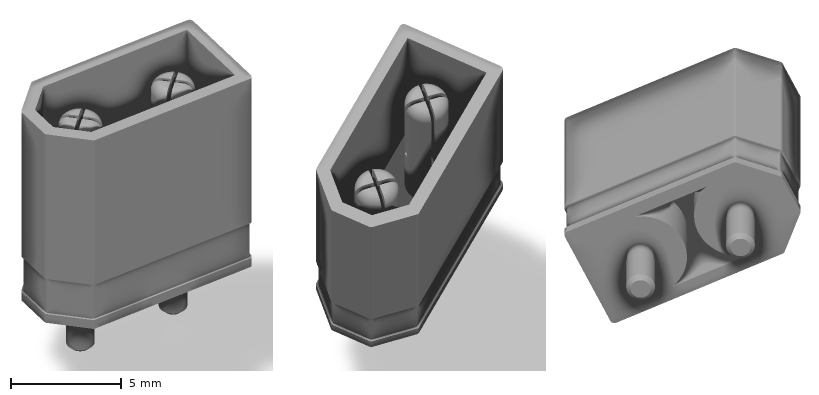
import cadquery as cq

WIDTH = 5.2
LENGTH = 10.2
HEIGHT = 10.75
Y_BACK = 5.15
Y_FRONT = Y_BACK - LENGTH
KEY_CHAMFER = 1.6
CORNER_RADIUS = 0.2
WALL = 0.6

FLANGE_HEIGHT = 0.5
GROOVE_TOP = 2.5
GROOVE_DEPTH = 0.1

FLOOR_TOP = GROOVE_TOP
PAD_RADIUS = 2.1

CONTACT_PITCH = 5.0
CONTACT_Y = (-CONTACT_PITCH / 2, CONTACT_PITCH / 2)
COLLAR_DIAMETER = 2.5
PLUG_DIAMETER = 2.0
PLUG_TOP = 10.0
PLUG_ROUNDING = 0.5
TAIL_DIAMETER = 1.3
TAIL_LENGTH = 3.0
TAIL_CHAMFER = 0.2
SLIT_WIDTH = 0.2
SLIT_DEPTH = 4.5
SLIT_ANGLES = (45, 135)


def keyed_outline(base_z, inset=0.0):
    """Rectangle with its two front corners cut off, moved inward by the inset."""
    half_width = WIDTH / 2
    outline = cq.Workplane("XY", origin=(0, 0, base_z)).polyline([
        (-half_width, Y_BACK),
        (half_width, Y_BACK),
        (half_width, Y_FRONT + KEY_CHAMFER),
        (half_width - KEY_CHAMFER, Y_FRONT),
        (-half_width + KEY_CHAMFER, Y_FRONT),
        (-half_width, Y_FRONT + KEY_CHAMFER),
    ]).close()
    return outline.offset2D(-inset) if inset else outline


def keyed_prism(base_z, top_z, inset=0.0, corner_radius=0.0):
    prism = keyed_outline(base_z, inset).extrude(top_z - base_z)
    return prism.edges("|Z").fillet(corner_radius) if corner_radius else prism


def floor_pad(y):
    """Floor around one contact: a half-round facing the other contact, full width behind it."""
    outward = 1 if y > 0 else -1
    round_end = cq.Workplane("XY").center(0, y).circle(PAD_RADIUS).extrude(FLOOR_TOP)
    behind = cq.Workplane("XY").center(0, y + outward * LENGTH / 2).rect(WIDTH, LENGTH).extrude(FLOOR_TOP)
    return round_end.union(behind)


def make_housing():
    flange = keyed_prism(0, FLANGE_HEIGHT, corner_radius=CORNER_RADIUS)
    neck = keyed_prism(
        FLANGE_HEIGHT, GROOVE_TOP, inset=GROOVE_DEPTH, corner_radius=CORNER_RADIUS - GROOVE_DEPTH
    )
    shroud = keyed_prism(GROOVE_TOP, HEIGHT, corner_radius=CORNER_RADIUS)
    housing = flange.union(neck).union(shroud)

    cavity = keyed_prism(0, HEIGHT, inset=WALL)
    for y in CONTACT_Y:
        cavity = cavity.cut(floor_pad(y))
    housing = housing.cut(cavity)

    contact_holes = cq.Workplane("XY").pushPoints([(0, y) for y in CONTACT_Y])
    return housing.cut(contact_holes.circle(COLLAR_DIAMETER / 2).extrude(FLOOR_TOP))


def make_contact(y):
    """Collar fills the floor hole, with the slit plug above it and the solder tail below."""
    collar = cq.Workplane("XY").circle(COLLAR_DIAMETER / 2).extrude(FLOOR_TOP)

    plug = cq.Workplane("XY").circle(PLUG_DIAMETER / 2).extrude(PLUG_TOP)
    plug = plug.faces(">Z").edges().fillet(PLUG_ROUNDING)

    tail = cq.Workplane("XY").circle(TAIL_DIAMETER / 2).extrude(-TAIL_LENGTH)
    tail = tail.faces("<Z").edges().chamfer(TAIL_CHAMFER)

    contact = collar.union(plug).union(tail)
    for angle in SLIT_ANGLES:
        slit = (
            cq.Workplane("XY", origin=(0, 0, PLUG_TOP))
            .rect(COLLAR_DIAMETER, SLIT_WIDTH)
            .extrude(-SLIT_DEPTH)
            .rotate((0, 0, 0), (0, 0, 1), angle)
        )
        contact = contact.cut(slit)
    return contact.translate((0, y, 0))


housing = make_housing()
contacts = [make_contact(y) for y in CONTACT_Y]

result = cq.Compound.makeCompound([housing.val(), *[contact.val() for contact in contacts]])